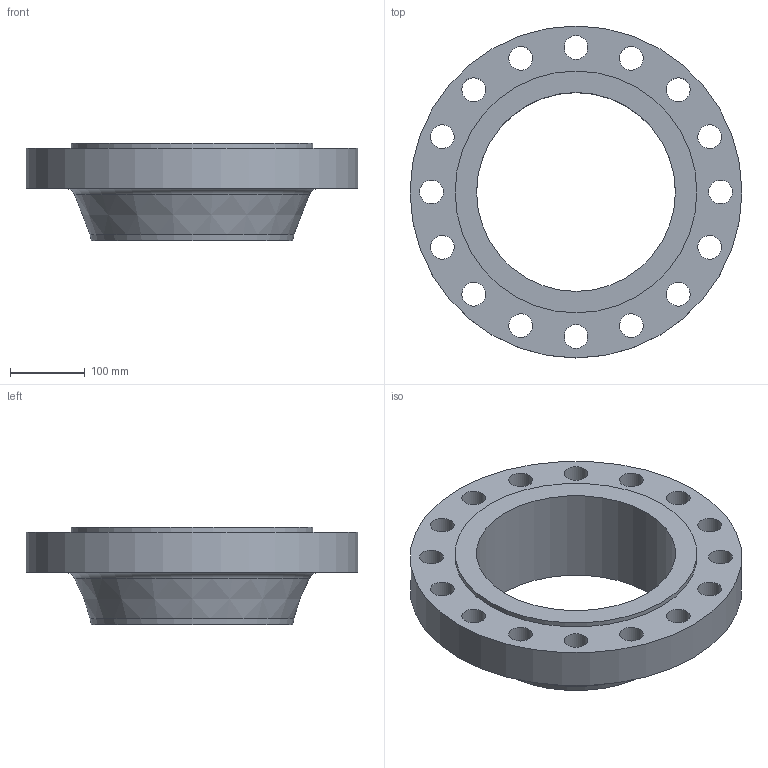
import cadquery as cq
import math

flange_diameter = 444.5
flange_thickness = 53.98
raised_face_diameter = 323.85
raised_face_height = 6.35
overall_length = 130.18

hub_base_diameter = 320.7
hub_fillet_radius = 12.7
pipe_diameter = 273.05
pipe_wall = 3.4
weld_land_width = 1.6
weld_end_length = 8.0
bore_diameter = pipe_diameter - 2 * pipe_wall
weld_end_diameter = bore_diameter + 2 * weld_land_width

bolt_circle_diameter = 387.35
bolt_hole_diameter = 31.75
bolt_hole_count = 16

flange_bottom = overall_length - raised_face_height - flange_thickness
flange_top = flange_bottom + flange_thickness


def make_body():
    """Revolve the flange and hub half-section about the Z axis."""
    bore_radius = bore_diameter / 2
    pipe_radius = pipe_diameter / 2
    raised_face_radius = raised_face_diameter / 2
    flange_radius = flange_diameter / 2
    hub_base_radius = hub_base_diameter / 2

    taper_angle = math.atan2(hub_base_radius - pipe_radius, flange_bottom - weld_end_length)
    fillet_reach = hub_fillet_radius * math.tan((math.pi / 2 - taper_angle) / 2)
    fillet_start_height = flange_bottom - fillet_reach * math.cos(taper_angle)

    section = (
        cq.Workplane("XZ")
        .moveTo(bore_radius, 0)
        .lineTo(weld_end_diameter / 2, 0)
        .lineTo(pipe_radius, weld_end_length)
        .lineTo(hub_base_radius - fillet_reach * math.sin(taper_angle), fillet_start_height)
        .radiusArc((hub_base_radius + fillet_reach, flange_bottom), hub_fillet_radius)
        .lineTo(flange_radius, flange_bottom)
        .lineTo(flange_radius, flange_top)
        .lineTo(raised_face_radius, flange_top)
        .lineTo(raised_face_radius, overall_length)
        .lineTo(bore_radius, overall_length)
        .close()
    )
    return section.revolve(360, (0, 0, 0), (0, 1, 0))


def make_bolt_holes():
    """Cylinders for the bolt holes, the first one on the X axis."""
    return (
        cq.Workplane("XY")
        .workplane(offset=flange_bottom)
        .polarArray(bolt_circle_diameter / 2, 0, 360, bolt_hole_count)
        .circle(bolt_hole_diameter / 2)
        .extrude(flange_thickness)
    )


result = make_body().cut(make_bolt_holes())